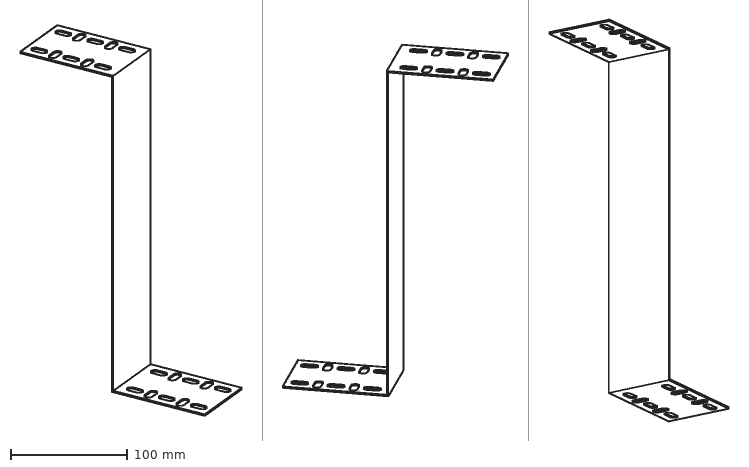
import cadquery as cq

length_x = 185.0
width = 62.0
height = 301.5
thickness = 1.5

slot_length = 15.0
slot_width = 7.2
slot_pitch = 16.0
slots_per_row = 5
row_spacing = 40.0
end_margin = 12.7

web_x = 0.25


def plate(size_x, size_z, x, z):
    """Full-width plate centred at (x, 0, z)."""
    return cq.Workplane("XY").box(size_x, width, size_z).translate((x, 0, z))


def flange_slots(side, z):
    """Slot cutters through one flange; side is -1 or +1 along X."""
    cutters = cq.Workplane("XY")
    for index in range(slots_per_row):
        x = side * (length_x / 2 - end_margin - index * slot_pitch)
        angle = 90 * (index % 2)
        row = (
            cq.Workplane("XY", origin=(x, 0, z - thickness))
            .pushPoints([(0, -row_spacing / 2), (0, row_spacing / 2)])
            .slot2D(slot_length, slot_width, angle)
            .extrude(2 * thickness)
        )
        cutters = cutters.add(row)
    return cutters.combine()


flange_z = (height - thickness) / 2
result = plate(thickness, height, web_x, 0)
for side in (-1, 1):
    free_end_x = side * length_x / 2
    web_face_x = web_x - side * thickness / 2
    flange_length = abs(free_end_x - web_face_x)
    flange_x = (free_end_x + web_face_x) / 2
    z = -side * flange_z
    flange = plate(flange_length, thickness, flange_x, z)
    result = result.union(flange.cut(flange_slots(side, z)))